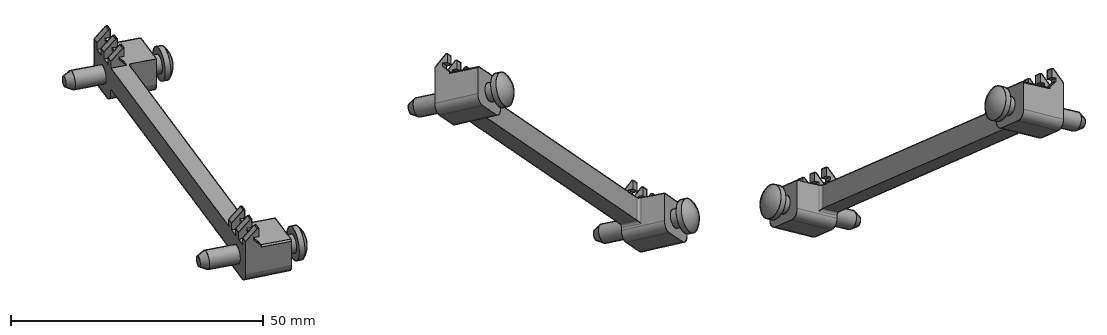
import cadquery as cq
import math


length = 85.7
beam_depth = 3.85
beam_bottom = 3.1
top = 8.0

end_width = 9.5
block_width = 9.25
block_depth = 9.8
foot_radius = 1.9
inner_fillet = 0.6
underside_rise = 0.2
top_bevel = 0.3

hook_count = 3
hook_width = 1.6
hook_height = 12.0
hook_foot = 3.3
hook_shoulder = 9.5
hook_tip_back = 2.8
hook_tip_drop = 1.9
hook_neck = 1.8

stud_x = 38.0
stud_z = 4.0
stud_radius = 3.9 / 2
tip_radius = 1.1
tip_length = 1.6
stud_front = -8.1
head_radius = 7.0 / 2
head_start = 11.9
head_rim = 1.2
head_back = 14.6


def make_bar():
    """Right half of the beam with its end block, rounded where they meet."""
    inner_x = length / 2 - block_width
    beam = cq.Workplane("XY", origin=(0, 0, beam_bottom)).box(
        length / 2 - foot_radius, beam_depth, top - beam_bottom, centered=False
    )
    side = [(0, 0), (0, top), (block_depth, top), (block_depth, underside_rise)]
    block = (
        cq.Workplane("YZ", origin=(inner_x, 0, 0))
        .polyline(side)
        .close()
        .extrude(block_width)
    )
    block = block.faces("<Z").edges("<X or >X").fillet(foot_radius)
    block = block.faces(">Z").edges(">X").chamfer(top_bevel)
    corner_under = cq.selectors.NearestToPointSelector((inner_x, beam_depth / 2, beam_bottom))
    corner_behind = cq.selectors.NearestToPointSelector((inner_x, beam_depth, (top + beam_bottom) / 2))
    return block.union(beam).edges(corner_under + corner_behind).fillet(inner_fillet)


def make_hooks():
    """Row of hooks whose outer one is flush with the end of the part."""
    bevel = hook_height - hook_shoulder
    pitch = (end_width - hook_width) / (hook_count - 1)
    profile = [
        (0, beam_bottom),
        (0, hook_shoulder),
        (bevel, hook_height),
        (hook_tip_back, hook_height),
        (hook_tip_back, hook_height - hook_tip_drop),
        (hook_neck, hook_height - hook_tip_drop),
        (hook_neck, top + hook_foot - hook_neck),
        (hook_foot, top),
        (hook_foot, beam_bottom),
    ]
    hooks = cq.Workplane("XY")
    for index in range(hook_count):
        start = length / 2 - end_width + index * pitch
        hook = (
            cq.Workplane("YZ", origin=(start, 0, 0))
            .polyline(profile)
            .close()
            .extrude(hook_width)
        )
        hooks = hooks.add(hook)
    return hooks.combine()


def make_stud():
    rim_back = head_start + head_rim
    rise = head_back - rim_back
    sphere_radius = (head_radius**2 + rise**2) / (2 * rise)
    mid_radius = head_radius / 2
    mid_y = head_back - sphere_radius + math.sqrt(sphere_radius**2 - mid_radius**2)
    return (
        cq.Workplane("XY")
        .moveTo(0, stud_front)
        .lineTo(tip_radius, stud_front)
        .lineTo(stud_radius, stud_front + tip_length)
        .lineTo(stud_radius, head_start)
        .lineTo(head_radius, head_start)
        .lineTo(head_radius, rim_back)
        .threePointArc((mid_radius, mid_y), (0, head_back))
        .close()
        .revolve(360, (0, 0, 0), (0, 1, 0))
        .translate((stud_x, 0, stud_z))
    )


half = make_bar().union(make_hooks()).union(make_stud())
result = half.union(half.mirror("YZ"))